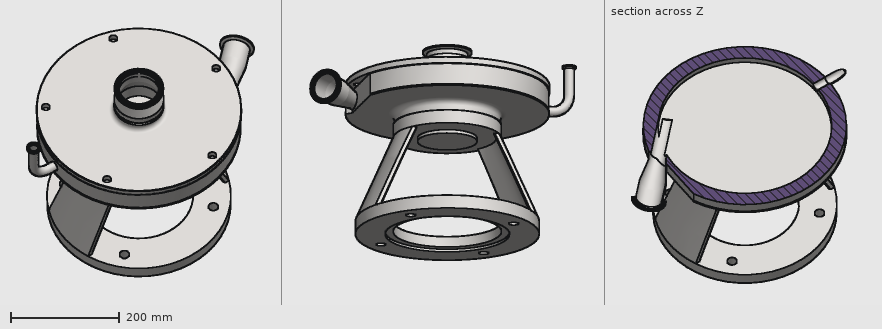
import cadquery as cq
import math

BASE_RADIUS = 170
BASE_BORE_RADIUS = 100
BASE_THICKNESS = 25
REGISTER_RADIUS = 115
REGISTER_DEPTH = 5
BASE_HOLE_COUNT = 4
BASE_HOLE_DIAMETER = 18
BASE_HOLE_CIRCLE_RADIUS = 140
RING_RADIUS = 100
RING_BOTTOM_Z = 185
RING_THICKNESS = 25
RING_TOP_Z = RING_BOTTOM_Z + RING_THICKNESS
LEG_BOTTOM_THICKNESS = 11
LEG_TOP_THICKNESS = 9.5
LEG_BOTTOM_HALF_WIDTH = 65
LEG_TOP_HALF_WIDTH = 55
LEG_INNER_CHAMFER = 3

HUB_RADIUS = 55
HUB_BOTTOM_Z = 178.5
NECK_RADIUS = 98.5
NECK_FILLET = 10.5
CASING_RADIUS = 188
CASING_BOTTOM_Z = 231
BACK_PLATE_RADIUS = 188.5
BACK_PLATE_THICKNESS = 3
BACK_PLATE_TOP_Z = CASING_BOTTOM_Z + BACK_PLATE_THICKNESS
CASING_TOP_CHAMFER = 1
LID_RADIUS = 379 / 2
LID_BOTTOM_Z = 274
LID_THICKNESS = 12
LID_TOP_Z = LID_BOTTOM_Z + LID_THICKNESS
LID_EDGE_CHAMFER = 1
CHAMBER_RADIUS = 160
CHAMBER_FLOOR_Z = 241
LID_HOLE_COUNT = 5
LID_HOLE_DIAMETER = 15
LID_HOLE_CIRCLE_RADIUS = 172

COLLAR_RADIUS = 46.2
COLLAR_FILLET = 9.5
COLLAR_TOP_Z = 299
GROOVE_RADIUS = 42.6
GROOVE_Z = 301.5
REDUCER_BOTTOM_Z = 304.5
REDUCER_RADIUS = 46
REDUCER_CONE_BOTTOM_Z = 318.5
REDUCER_CONE_TOP_Z = 337
INLET_TUBE_RADIUS = 38.1
INLET_FERRULE_RADIUS = 45.5
INLET_TOP_Z = 351.5
INLET_BORE_RADIUS = 36.5
INLET_FLARE_Z = 323
REDUCER_WALL = INLET_TUBE_RADIUS - INLET_BORE_RADIUS

FERRULE_LIP = 2.9
FERRULE_TAPER = 2.5
GASKET_GROOVE_DEPTH = 1
GASKET_GROOVE_WIDTH = 3

PORT_AXIS_Z = (CASING_BOTTOM_Z + LID_BOTTOM_Z) / 2
DISCHARGE_ANGLE = 45
DISCHARGE_OFFSET = 145
DISCHARGE_END = 204.5
DISCHARGE_CONE_START = 160
DISCHARGE_CONE_END = 102
DISCHARGE_ROOT = 85
DISCHARGE_RADIUS = 25.4
DISCHARGE_THROAT_RADIUS = 16
DISCHARGE_WALL = 1.5
CLEARANCE_FLAT_Y = 171
CLEARANCE_END_X = 41
DISCHARGE_FERRULE_RADIUS = 32

DRAIN_RADIUS = 9.5
DRAIN_BORE_RADIUS = 7.9
DRAIN_AXIS_Y = -234.3
DRAIN_ELBOW_RADIUS = 34
DRAIN_TOP_Z = 342
DRAIN_FERRULE_RADIUS = 12.7


def cylinder(radius, bottom_z, height):
    return cq.Workplane("XY").workplane(offset=bottom_z).circle(radius).extrude(height)


def bracket_leg():
    """One leg: the part of a conical shell between two sides that lean inwards."""
    mid_z = (BASE_THICKNESS + RING_BOTTOM_Z) / 2
    mid_half_width = (LEG_BOTTOM_HALF_WIDTH + LEG_TOP_HALF_WIDTH) / 2
    inner_bottom_radius = BASE_RADIUS - LEG_BOTTOM_THICKNESS
    inner_top_radius = RING_RADIUS - LEG_TOP_THICKNESS
    inner_mid_y = math.sqrt(((inner_bottom_radius + inner_top_radius) / 2) ** 2 - mid_half_width**2)
    shell = (
        cq.Workplane("XZ")
        .moveTo(BASE_RADIUS, BASE_THICKNESS)
        .lineTo(RING_RADIUS, RING_BOTTOM_Z)
        .lineTo(inner_top_radius, RING_BOTTOM_Z)
        .lineTo(inner_bottom_radius, BASE_THICKNESS)
        .close()
        .revolve(360, (0, 0, 0), (0, 1, 0))
    )
    sides = (
        cq.Workplane("XZ")
        .moveTo(-LEG_BOTTOM_HALF_WIDTH, BASE_THICKNESS)
        .lineTo(LEG_BOTTOM_HALF_WIDTH, BASE_THICKNESS)
        .lineTo(LEG_TOP_HALF_WIDTH, RING_BOTTOM_Z)
        .lineTo(-LEG_TOP_HALF_WIDTH, RING_BOTTOM_Z)
        .close()
        .extrude(BASE_RADIUS)
    )
    leg = shell.intersect(sides)
    for side in (-1, 1):
        inner_edge = cq.selectors.NearestToPointSelector((side * mid_half_width, -inner_mid_y, mid_z))
        leg = leg.edges(inner_edge).chamfer(LEG_INNER_CHAMFER)
    return leg


def make_bracket():
    base = (
        cylinder(BASE_RADIUS, 0, BASE_THICKNESS)
        .cut(cylinder(BASE_BORE_RADIUS, 0, BASE_THICKNESS))
        .cut(cylinder(REGISTER_RADIUS, 0, REGISTER_DEPTH))
        .faces(">Z")
        .workplane(origin=(0, 0, BASE_THICKNESS))
        .polarArray(BASE_HOLE_CIRCLE_RADIUS, 45, 360, BASE_HOLE_COUNT)
        .hole(BASE_HOLE_DIAMETER)
    )
    ring = cylinder(RING_RADIUS, RING_BOTTOM_Z, RING_THICKNESS)
    ring = ring.cut(cylinder(HUB_RADIUS, RING_BOTTOM_Z, RING_THICKNESS))
    bracket = base.union(ring)
    for turn in (0, 180):
        bracket = bracket.union(bracket_leg().rotate((0, 0, 0), (0, 0, 1), turn))
    return bracket


def ferrule(tube_radius, bore_radius, lip_radius):
    """Clamp ferrule whose sealing face lies on Z = 0, with the tube side below it."""
    groove_radius = (bore_radius + lip_radius) / 2
    return (
        cq.Workplane("XZ")
        .moveTo(bore_radius, 0)
        .lineTo(groove_radius - GASKET_GROOVE_WIDTH / 2, 0)
        .lineTo(groove_radius - GASKET_GROOVE_WIDTH / 4, -GASKET_GROOVE_DEPTH)
        .lineTo(groove_radius + GASKET_GROOVE_WIDTH / 4, -GASKET_GROOVE_DEPTH)
        .lineTo(groove_radius + GASKET_GROOVE_WIDTH / 2, 0)
        .lineTo(lip_radius, 0)
        .lineTo(lip_radius, -FERRULE_LIP)
        .lineTo(tube_radius, -FERRULE_LIP - FERRULE_TAPER)
        .lineTo(bore_radius, -FERRULE_LIP - FERRULE_TAPER)
        .close()
        .revolve(360, (0, 0, 0), (0, 1, 0))
    )


def casing_with_lid():
    """Outside of the hub, neck, casing, lid and inlet as one turned shape."""
    return (
        cq.Workplane("XZ")
        .moveTo(0, HUB_BOTTOM_Z)
        .lineTo(HUB_RADIUS, HUB_BOTTOM_Z)
        .lineTo(HUB_RADIUS, RING_TOP_Z)
        .lineTo(NECK_RADIUS, RING_TOP_Z)
        .lineTo(NECK_RADIUS, CASING_BOTTOM_Z - NECK_FILLET)
        .radiusArc((NECK_RADIUS + NECK_FILLET, CASING_BOTTOM_Z), NECK_FILLET)
        .lineTo(BACK_PLATE_RADIUS, CASING_BOTTOM_Z)
        .lineTo(BACK_PLATE_RADIUS, BACK_PLATE_TOP_Z)
        .lineTo(CASING_RADIUS, BACK_PLATE_TOP_Z)
        .lineTo(CASING_RADIUS, LID_BOTTOM_Z - CASING_TOP_CHAMFER)
        .lineTo(CASING_RADIUS - CASING_TOP_CHAMFER, LID_BOTTOM_Z)
        .lineTo(LID_RADIUS, LID_BOTTOM_Z)
        .lineTo(LID_RADIUS, LID_TOP_Z - LID_EDGE_CHAMFER)
        .lineTo(LID_RADIUS - LID_EDGE_CHAMFER, LID_TOP_Z)
        .lineTo(COLLAR_RADIUS + COLLAR_FILLET, LID_TOP_Z)
        .radiusArc((COLLAR_RADIUS, LID_TOP_Z + COLLAR_FILLET), COLLAR_FILLET)
        .lineTo(COLLAR_RADIUS, COLLAR_TOP_Z)
        .lineTo(GROOVE_RADIUS, GROOVE_Z)
        .lineTo(REDUCER_RADIUS, REDUCER_BOTTOM_Z)
        .lineTo(REDUCER_RADIUS, REDUCER_CONE_BOTTOM_Z)
        .lineTo(INLET_TUBE_RADIUS, REDUCER_CONE_TOP_Z)
        .lineTo(INLET_TUBE_RADIUS, INLET_TOP_Z - FERRULE_LIP)
        .lineTo(0, INLET_TOP_Z - FERRULE_LIP)
        .close()
        .revolve(360, (0, 0, 0), (0, 1, 0))
    )


def wet_space():
    """Impeller chamber and the inlet passage above it."""
    throat_radius = GROOVE_RADIUS - REDUCER_WALL
    return (
        cq.Workplane("XZ")
        .moveTo(0, CHAMBER_FLOOR_Z)
        .lineTo(CHAMBER_RADIUS, CHAMBER_FLOOR_Z)
        .lineTo(CHAMBER_RADIUS, LID_BOTTOM_Z)
        .lineTo(throat_radius, LID_BOTTOM_Z)
        .lineTo(throat_radius, REDUCER_BOTTOM_Z)
        .lineTo(INLET_BORE_RADIUS, INLET_FLARE_Z)
        .lineTo(INLET_BORE_RADIUS, INLET_TOP_Z)
        .lineTo(0, INLET_TOP_Z)
        .close()
        .revolve(360, (0, 0, 0), (0, 1, 0))
    )


def lid_holes():
    """Five holes through the lid, the first one at the back."""
    return (
        cq.Workplane("XY", origin=(0, 0, LID_BOTTOM_Z))
        .polarArray(LID_HOLE_CIRCLE_RADIUS, 90, 360, LID_HOLE_COUNT)
        .circle(LID_HOLE_DIAMETER / 2)
        .extrude(LID_THICKNESS)
    )


def discharge_clearance():
    """Flat cut below the lid where the discharge pipe comes out, with its end square to the pipe."""
    end_rise = BACK_PLATE_RADIUS - CLEARANCE_FLAT_Y
    return (
        cq.Workplane("XY", origin=(0, 0, CASING_BOTTOM_Z))
        .moveTo(CLEARANCE_END_X, CLEARANCE_FLAT_Y)
        .lineTo(CLEARANCE_END_X + end_rise, CLEARANCE_FLAT_Y + end_rise)
        .lineTo(-CLEARANCE_FLAT_Y, CLEARANCE_FLAT_Y + end_rise)
        .lineTo(-CLEARANCE_FLAT_Y, CLEARANCE_FLAT_Y)
        .close()
        .extrude(LID_BOTTOM_Z - CASING_BOTTOM_Z)
    )


def place_discharge(shape):
    """Turn a shape along Z onto the tangential discharge axis."""
    return (
        shape.rotate((0, 0, 0), (1, 0, 0), -90)
        .translate((DISCHARGE_OFFSET, 0, PORT_AXIS_Z))
        .rotate((0, 0, 0), (0, 0, 1), DISCHARGE_ANGLE)
    )


def discharge_solid(wall_offset, start):
    """Straight tube and cone of the discharge, shrunk by the wall offset."""
    tube_radius = DISCHARGE_RADIUS - wall_offset
    throat_radius = DISCHARGE_THROAT_RADIUS - wall_offset
    return place_discharge(
        cq.Workplane("XZ")
        .moveTo(0, start)
        .lineTo(throat_radius, start)
        .lineTo(throat_radius, DISCHARGE_CONE_END)
        .lineTo(tube_radius, DISCHARGE_CONE_START)
        .lineTo(tube_radius, DISCHARGE_END)
        .lineTo(0, DISCHARGE_END)
        .close()
        .revolve(360, (0, 0, 0), (0, 1, 0))
    )


def drain_solid(radius, start_y):
    """Drain run: out of the casing along -Y, round the elbow and up."""
    path = (
        cq.Workplane("YZ")
        .moveTo(start_y, PORT_AXIS_Z)
        .lineTo(DRAIN_AXIS_Y + DRAIN_ELBOW_RADIUS, PORT_AXIS_Z)
        .radiusArc((DRAIN_AXIS_Y, PORT_AXIS_Z + DRAIN_ELBOW_RADIUS), DRAIN_ELBOW_RADIUS)
        .lineTo(DRAIN_AXIS_Y, DRAIN_TOP_Z)
    )
    return cq.Workplane("XZ", origin=(0, start_y, PORT_AXIS_Z)).circle(radius).sweep(path)


def make_pump():
    pump = casing_with_lid().cut(lid_holes()).cut(discharge_clearance())

    inlet_ferrule = ferrule(INLET_TUBE_RADIUS, INLET_BORE_RADIUS, INLET_FERRULE_RADIUS)
    pump = pump.union(inlet_ferrule.translate((0, 0, INLET_TOP_Z)))

    discharge_bore_radius = DISCHARGE_RADIUS - DISCHARGE_WALL
    discharge_ferrule = ferrule(DISCHARGE_RADIUS, discharge_bore_radius, DISCHARGE_FERRULE_RADIUS)
    discharge = discharge_solid(0, DISCHARGE_ROOT).cut(discharge_solid(DISCHARGE_WALL, 0))
    discharge = discharge.union(place_discharge(discharge_ferrule.translate((0, 0, DISCHARGE_END))))
    pump = pump.union(discharge)

    drain_ferrule = ferrule(DRAIN_RADIUS, DRAIN_BORE_RADIUS, DRAIN_FERRULE_RADIUS)
    drain_ferrule = drain_ferrule.translate((0, DRAIN_AXIS_Y, DRAIN_TOP_Z))
    drain = drain_solid(DRAIN_RADIUS, -CHAMBER_RADIUS).cut(drain_solid(DRAIN_BORE_RADIUS, -CHAMBER_RADIUS))
    pump = pump.union(drain).union(drain_ferrule)

    pump = pump.cut(wet_space())
    pump = pump.cut(discharge_solid(DISCHARGE_WALL, 0))
    return pump.cut(drain_solid(DRAIN_BORE_RADIUS, -CHAMBER_RADIUS))


bracket = make_bracket()
pump = make_pump()

result = cq.Compound.makeCompound([bracket.val(), pump.val()])